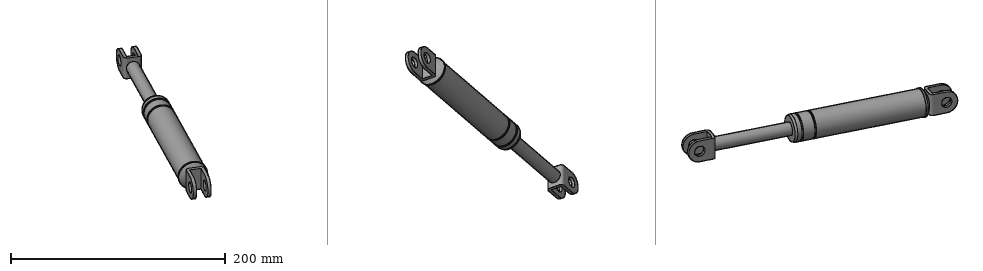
import cadquery as cq

length = 271.0

fork_length = 27.6
fork_height = 22.2
fork_width = 17.3
fork_wall = 3.3
bend_radius = fork_wall
eye_radius = fork_height / 2
eye_hole_diameter = 10.3

rod_radius = 6.5

tube_start = 105.5
tube_radius = 13.5
nose_chamfer_length = 2.5
nose_chamfer_depth = 0.8
groove_centers = (113.0, 126.0)
groove_width = 1.4
groove_depth = 0.5
rim_start = 237.0
rim_width = 2.0
rim_radius = 14.0
dome_height = 5.5
socket_depth = groove_centers[1] - tube_start

dome_start = rim_start + rim_width
dome_sphere_radius = (rim_radius**2 + dome_height**2) / (2 * dome_height)


def make_fork():
    """U-shaped clevis opening toward -X, with its eye end at x = 0."""
    fork = cq.Workplane("XY").box(fork_length, fork_width, fork_height, centered=(False, True, True))
    fork = fork.edges("|Z and >X").fillet(bend_radius)
    eye_outline = (
        cq.Workplane("XZ")
        .moveTo(eye_radius, -eye_radius)
        .lineTo(fork_length, -eye_radius)
        .lineTo(fork_length, eye_radius)
        .lineTo(eye_radius, eye_radius)
        .threePointArc((0, 0), (eye_radius, -eye_radius))
        .close()
        .extrude(fork_width / 2, both=True)
    )
    slot = cq.Workplane("XY").box(
        fork_length - fork_wall, fork_width - 2 * fork_wall, fork_height, centered=(False, True, True)
    )
    eye_hole = (
        cq.Workplane("XZ")
        .center(eye_radius, 0)
        .circle(eye_hole_diameter / 2)
        .extrude(fork_width / 2, both=True)
    )
    return fork.intersect(eye_outline).cut(slot).cut(eye_hole)


def make_rod():
    """Piston rod with its fork, ending at the bottom of the tube socket."""
    rod_start = fork_length - fork_wall
    rod_end = tube_start + socket_depth
    shaft = cq.Workplane("YZ", origin=(rod_start, 0, 0)).circle(rod_radius).extrude(rod_end - rod_start)
    return make_fork().union(shaft)


def make_tube():
    """Grooved cylinder with a rolled rim, a domed end and its fork."""
    dome_mid_radius = rim_radius / 2
    dome_mid_x = (
        dome_start + dome_height - dome_sphere_radius
        + (dome_sphere_radius**2 - dome_mid_radius**2) ** 0.5
    )
    tube = (
        cq.Workplane("XY")
        .moveTo(tube_start, 0)
        .lineTo(tube_start, tube_radius - nose_chamfer_depth)
        .lineTo(tube_start + nose_chamfer_length, tube_radius)
        .lineTo(rim_start, tube_radius)
        .lineTo(rim_start, rim_radius)
        .lineTo(dome_start, rim_radius)
        .threePointArc((dome_mid_x, dome_mid_radius), (dome_start + dome_height, 0))
        .close()
        .revolve(360, (0, 0, 0), (1, 0, 0))
    )
    for center in groove_centers:
        groove = (
            cq.Workplane("YZ", origin=(center - groove_width / 2, 0, 0))
            .circle(rim_radius)
            .circle(tube_radius - groove_depth)
            .extrude(groove_width)
        )
        tube = tube.cut(groove)
    socket = cq.Workplane("YZ", origin=(tube_start, 0, 0)).circle(rod_radius).extrude(socket_depth)
    fork = make_fork().rotate((0, 0, 0), (0, 0, 1), 180).translate((length, 0, 0))
    return tube.cut(socket).union(fork)


rod = make_rod()
tube = make_tube()

result = cq.Compound.makeCompound([rod.val(), tube.val()])